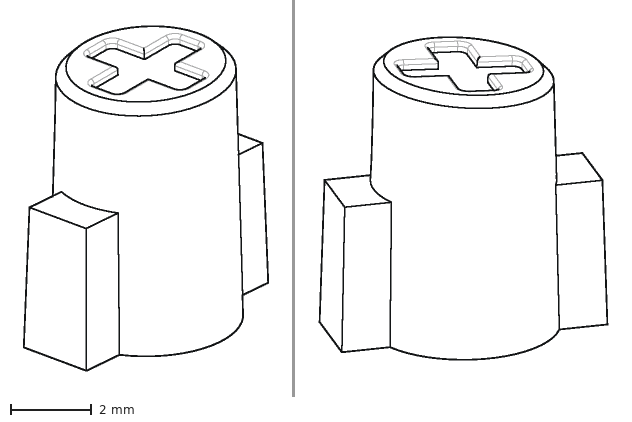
import cadquery as cq
import math

base_diameter = 4.82
draft_angle = 1.5
top_tilt = 4.0
top_center_height = 6.873
top_chamfer = 0.25

lug_span = 6.83
lug_width = 2.07
lug_height = 3.83

cross_length = 3.2
cross_arm_width = 1.0
cross_corner_radius = 0.2
cross_depth = 0.25
cross_rim_fillet = 0.1

blank_height = top_center_height + base_diameter / 2

top_plane = cq.Plane(
    origin=(0, 0, top_center_height),
    xDir=(1, 0, 0),
    normal=(0, -math.sin(math.radians(top_tilt)), math.cos(math.radians(top_tilt))),
)


def make_body():
    """Drafted cone cut by the tilted top plane, with a chamfered top edge."""
    blank = cq.Workplane("XY").circle(base_diameter / 2).extrude(blank_height, taper=draft_angle)
    waste = cq.Workplane(top_plane).rect(2 * base_diameter, 2 * base_diameter).extrude(blank_height)
    return blank.cut(waste).faces(">Z").chamfer(top_chamfer)


def make_lugs():
    """One drafted block through the body forms both opposite lugs."""
    return cq.Workplane("XY").rect(lug_width, lug_span).extrude(lug_height, taper=draft_angle)


def make_cross_bar(size_x, size_y):
    """Cutter for one bar of the cross, with rounded corners, sunk from the top face."""
    bar = cq.Workplane(top_plane).rect(size_x, size_y).extrude(-cross_depth)
    return bar.edges(cq.selectors.ParallelDirSelector(top_plane.zDir)).fillet(cross_corner_radius)


def cut_cross(part):
    """Sink the cross and round its rim."""
    cross = make_cross_bar(cross_length, cross_arm_width).union(
        make_cross_bar(cross_arm_width, cross_length)
    )
    recessed = part.cut(cross)
    top_face = recessed.faces(">Z").val()
    rim_edges = top_face.innerWires()[0].Edges()
    return recessed.newObject(rim_edges).fillet(cross_rim_fillet)


result = cut_cross(make_body().union(make_lugs()))